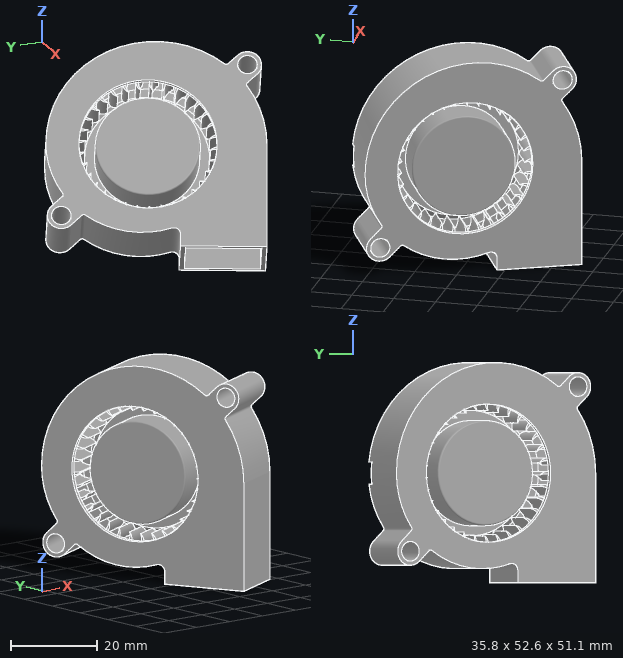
import cadquery as cq
import math


TURN_ANGLE = math.radians(25.8)

HOUSING_DEPTH = 15.0
HOUSING_WIDTH = 51.3
HOUSING_HEIGHT = 51.1
WALL = 1.2
UPPER_RADIUS = HOUSING_WIDTH / 2
UPPER_CENTER_X = 1.95
LOWER_RADIUS = 22.15
SCROLL_LEFT = UPPER_CENTER_X - UPPER_RADIUS
LOWER_CENTER_X = SCROLL_LEFT + LOWER_RADIUS
LOWER_ARC_MIDDLE = 225
OUTLET_LEFT = 7.5
OUTLET_RIGHT = UPPER_CENTER_X + UPPER_RADIUS
OUTLET_BOTTOM = UPPER_RADIUS - HOUSING_HEIGHT
OUTLET_FILLET = 1.5
INLET_RADIUS = 16.0

BOSS_RADIUS = 3.25
BOSS_HOLE_RADIUS = 2.25
BOSS_FILLET = 0.65
UPPER_BOSS = (23.05, 20.05)
LOWER_BOSS = (-20.1, -18.1)

NOTCH_HEIGHT = 5.1
NOTCH_DEPTH = 1.5

HUB_RADIUS = 12.2
HUB_RECESS = 1.5
HUB_EDGE_FILLET = 0.4
FLANGE_RADIUS = 14.5
FLANGE_TOP = -9.45
DISC_RADIUS = 18.15
DISC_TOP = -11.05
DISC_THICKNESS = 1.0
BLADE_COUNT = 33
BLADE_TOP = -2.5
BLADE_INNER_RADIUS = 14.55
BLADE_OUTER_RADIUS = 19.05
BLADE_SWEEP = -3.7
CONVEX_BULGE = 1.4
CONCAVE_BULGE = 0.75
FIRST_BLADE_ANGLE = 9.4


def polar(center, radius, degrees):
    """Point at a radius and angle from a center."""
    angle = math.radians(degrees)
    return (center[0] + radius * math.cos(angle), center[1] + radius * math.sin(angle))


def lower_arc_end(inset):
    """Point where the lower arc of an inset scroll outline meets the left side of the outlet leg."""
    x = OUTLET_LEFT + inset
    return (x, -math.sqrt((LOWER_RADIUS - inset) ** 2 - (x - LOWER_CENTER_X) ** 2))


def scroll(inset, front, depth):
    """Scroll-shaped block with its outlet leg; an inset moves in all but the bottom."""
    upper_radius = UPPER_RADIUS - inset
    lower_radius = LOWER_RADIUS - inset
    arc_middle = polar((LOWER_CENTER_X, 0), lower_radius, LOWER_ARC_MIDDLE)
    return (
        cq.Workplane("XY", origin=(0, 0, front))
        .moveTo(OUTLET_RIGHT - inset, 0)
        .threePointArc((UPPER_CENTER_X, upper_radius), (SCROLL_LEFT + inset, 0))
        .threePointArc(arc_middle, lower_arc_end(inset))
        .lineTo(OUTLET_LEFT + inset, OUTLET_BOTTOM)
        .lineTo(OUTLET_RIGHT - inset, OUTLET_BOTTOM)
        .close()
        .extrude(-depth)
    )


def fillet_upright_edge(body, point, radius):
    """Round the edge parallel to Z that passes through a point of the outline."""
    nearest = cq.NearestToPointSelector((*point, -HOUSING_DEPTH / 2))
    return body.edges("|Z").edges(nearest).fillet(radius)


def add_boss(body, boss, scroll_center_x, scroll_radius):
    """Join a screw boss to the scroll by a neck as wide as the boss, pointing at the arc center."""
    offset_x = boss[0] - scroll_center_x
    distance = math.hypot(offset_x, boss[1])
    direction = math.degrees(math.atan2(boss[1], offset_x))
    neck_foot = math.sqrt(scroll_radius**2 - BOSS_RADIUS**2)
    neck_start = neck_foot - WALL / 2
    neck = (
        cq.Workplane("XY")
        .center((neck_start + distance) / 2, 0)
        .rect(distance - neck_start, 2 * BOSS_RADIUS)
        .extrude(-HOUSING_DEPTH)
        .rotate((0, 0, 0), (0, 0, 1), direction)
        .translate((scroll_center_x, 0, 0))
    )
    post = cq.Workplane("XY").center(*boss).circle(BOSS_RADIUS).extrude(-HOUSING_DEPTH)
    hole = cq.Workplane("XY").center(*boss).circle(BOSS_HOLE_RADIUS).extrude(-HOUSING_DEPTH)
    body = body.union(neck.union(post))
    half_spread = math.degrees(math.asin(BOSS_RADIUS / scroll_radius))
    for side in (-1, 1):
        corner = polar((scroll_center_x, 0), scroll_radius, direction + side * half_spread)
        body = fillet_upright_edge(body, corner, BOSS_FILLET)
    return body.cut(hole)


def make_housing():
    """Scroll-shaped shell with its inlet, screw bosses and cable notch."""
    body = scroll(0, 0, HOUSING_DEPTH)
    body = fillet_upright_edge(body, lower_arc_end(0), OUTLET_FILLET)
    body = add_boss(body, UPPER_BOSS, UPPER_CENTER_X, UPPER_RADIUS)
    body = add_boss(body, LOWER_BOSS, LOWER_CENTER_X, LOWER_RADIUS)

    chamber = scroll(WALL, -WALL, HOUSING_DEPTH - 2 * WALL)
    inlet = cq.Workplane("XY").circle(INLET_RADIUS).extrude(-WALL)
    notch = (
        cq.Workplane("XY", origin=(SCROLL_LEFT, 0, -HOUSING_DEPTH))
        .rect(2 * WALL, NOTCH_HEIGHT)
        .extrude(NOTCH_DEPTH)
    )
    return body.cut(chamber).cut(inlet).cut(notch)


def make_blade():
    """Crescent-shaped blade between two arcs that share their tips, standing on the disc."""
    inner_tip = polar((0, 0), BLADE_INNER_RADIUS, 0)
    outer_tip = polar((0, 0), BLADE_OUTER_RADIUS, BLADE_SWEEP)
    chord_middle = ((inner_tip[0] + outer_tip[0]) / 2, (inner_tip[1] + outer_tip[1]) / 2)
    chord_angle = math.degrees(math.atan2(outer_tip[1] - inner_tip[1], outer_tip[0] - inner_tip[0]))
    return (
        cq.Workplane("XY", origin=(0, 0, BLADE_TOP))
        .moveTo(*inner_tip)
        .threePointArc(polar(chord_middle, CONVEX_BULGE, chord_angle + 90), outer_tip)
        .threePointArc(polar(chord_middle, CONCAVE_BULGE, chord_angle + 90), inner_tip)
        .close()
        .extrude(DISC_TOP - BLADE_TOP)
    )


def make_rotor():
    """Hub, flange, cone and disc as one turned profile; the hub rests on the chamber floor."""
    floor = WALL - HOUSING_DEPTH
    cone_base_radius = FLANGE_RADIUS + FLANGE_TOP - DISC_TOP
    disc_bottom = DISC_TOP - DISC_THICKNESS
    profile = [
        (0, floor),
        (HUB_RADIUS, floor),
        (HUB_RADIUS, disc_bottom),
        (DISC_RADIUS, disc_bottom),
        (DISC_RADIUS, DISC_TOP),
        (cone_base_radius, DISC_TOP),
        (FLANGE_RADIUS, FLANGE_TOP),
        (HUB_RADIUS, FLANGE_TOP),
        (HUB_RADIUS, -HUB_RECESS),
        (0, -HUB_RECESS),
    ]
    rotor = cq.Workplane("XZ").polyline(profile).close().revolve(360, (0, 0), (0, 1))
    return rotor.faces(">Z").edges().fillet(HUB_EDGE_FILLET)


def make_impeller():
    """Rotor with its ring of blades."""
    impeller = make_rotor()
    blade = make_blade()
    for index in range(BLADE_COUNT):
        angle = FIRST_BLADE_ANGLE + index * 360 / BLADE_COUNT
        impeller = impeller.union(blade.rotate((0, 0, 0), (0, 0, 1), angle))
    return impeller


upright = cq.Location(
    cq.Plane(
        origin=(0, 0, 0),
        xDir=(math.sin(TURN_ANGLE), -math.cos(TURN_ANGLE), 0),
        normal=(-math.cos(TURN_ANGLE), -math.sin(TURN_ANGLE), 0),
    )
)
housing = make_housing().solids().val().moved(upright)
impeller = make_impeller().solids().val().moved(upright)

result = cq.Compound.makeCompound([housing, impeller])